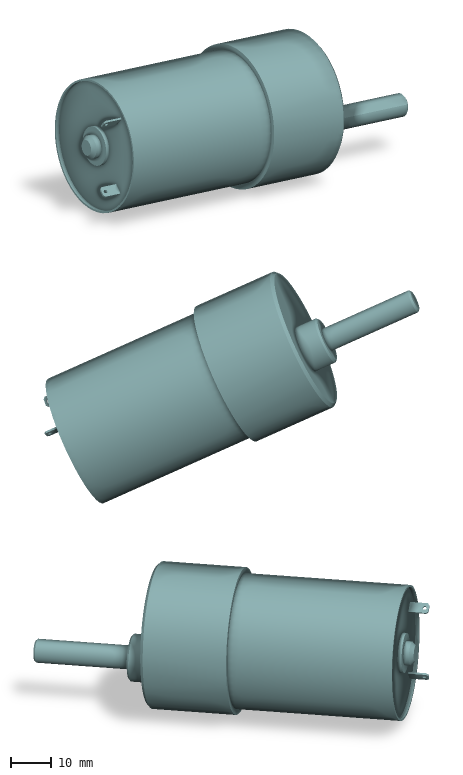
import cadquery as cq


GEARBOX_DIAMETER = 37.0
GEARBOX_LENGTH = 22.0
GEARBOX_CHAMFER = 0.8
BUSHING_DIAMETER = 12.0
BUSHING_LENGTH = 6.0
BUSHING_CHAMFER = 0.5

SHAFT_DIAMETER = 6.0
SHAFT_LENGTH = 24.4
SHAFT_OFFSET = -6.5
SHAFT_CHAMFER = 0.5
FLAT_DEPTH = 0.25
FLAT_DIRECTION = 40

MOTOR_DIAMETER = 34.0
MOTOR_LENGTH = 41.9
RECESS_DIAMETER = 33.0
RECESS_DEPTH = 1.0
BOSS_DIAMETER = 10.0
BOSS_HEIGHT = 1.0
STUB_PROJECTION = 2.5
STUB_CHAMFER = 1.0

TERMINAL_PROJECTION = 4.0
TERMINAL_WIDTH = 2.8
TERMINAL_THICKNESS = 0.5
TERMINAL_CHAMFER = 0.5
TERMINAL_RADIUS = 12.7
TERMINAL_ANGLES = (43.6, -46.4)
TERMINAL_HOLE_DIAMETER = 1.0
TERMINAL_HOLE_SETBACK = 1.1

REAR_RIM_Y = -MOTOR_LENGTH
REAR_FLOOR_Y = REAR_RIM_Y + RECESS_DEPTH


def cylinder_along_y(diameter, start_y, end_y):
    """Solid cylinder on the motor axis between two Y positions."""
    plane = cq.Workplane("XZ", origin=(0, start_y, 0))
    return plane.circle(diameter / 2).extrude(start_y - end_y)


def make_output_shaft(start_y):
    """Output shaft with a chamfered tip and a flat along its full length."""
    end_y = start_y + SHAFT_LENGTH
    shaft = cylinder_along_y(SHAFT_DIAMETER, start_y, end_y)
    shaft = shaft.faces(">Y").chamfer(SHAFT_CHAMFER)
    cutter_size = SHAFT_DIAMETER
    flat_offset = SHAFT_DIAMETER / 2 - FLAT_DEPTH
    cutter = (
        cq.Workplane("XY")
        .box(cutter_size, SHAFT_LENGTH, cutter_size)
        .translate((flat_offset + cutter_size / 2, (start_y + end_y) / 2, 0))
        .rotate((0, 0, 0), (0, 1, 0), -FLAT_DIRECTION)
    )
    return shaft.cut(cutter)


def make_gearbox():
    """Gearbox drum with an eccentric front bushing and output shaft."""
    bushing_end_y = GEARBOX_LENGTH + BUSHING_LENGTH
    drum = cylinder_along_y(GEARBOX_DIAMETER, 0, GEARBOX_LENGTH)
    drum = drum.faces(">Y").chamfer(GEARBOX_CHAMFER)
    bushing = cylinder_along_y(BUSHING_DIAMETER, GEARBOX_LENGTH, bushing_end_y)
    bushing = bushing.faces(">Y").chamfer(BUSHING_CHAMFER)
    output = bushing.union(make_output_shaft(bushing_end_y)).translate((0, 0, SHAFT_OFFSET))
    return drum.union(output)


def make_terminal(angle):
    """Blade with a chamfered tip and a wire hole, standing on the recess floor."""
    tip_y = REAR_RIM_Y - TERMINAL_PROJECTION
    length = REAR_FLOOR_Y - tip_y
    blade = (
        cq.Workplane("XY")
        .box(TERMINAL_WIDTH, length, TERMINAL_THICKNESS)
        .translate((TERMINAL_RADIUS, tip_y + length / 2, 0))
        .faces("<Y")
        .edges("|Z")
        .chamfer(TERMINAL_CHAMFER)
    )
    hole = (
        cq.Workplane("XY")
        .center(TERMINAL_RADIUS, tip_y + TERMINAL_HOLE_SETBACK)
        .circle(TERMINAL_HOLE_DIAMETER / 2)
        .extrude(TERMINAL_THICKNESS, both=True)
    )
    return blade.cut(hole).rotate((0, 0, 0), (0, 1, 0), -angle)


def make_motor():
    """Motor can with a recessed rear face, bearing boss, shaft stub and terminals."""
    can = cylinder_along_y(MOTOR_DIAMETER, REAR_RIM_Y, 0)
    recess = cylinder_along_y(RECESS_DIAMETER, REAR_RIM_Y, REAR_FLOOR_Y)
    boss = cylinder_along_y(BOSS_DIAMETER, REAR_FLOOR_Y - BOSS_HEIGHT, REAR_FLOOR_Y)
    stub = cylinder_along_y(SHAFT_DIAMETER, REAR_RIM_Y - STUB_PROJECTION, REAR_FLOOR_Y)
    stub = stub.faces("<Y").chamfer(STUB_CHAMFER)
    motor = can.cut(recess).union(boss).union(stub)
    for angle in TERMINAL_ANGLES:
        motor = motor.union(make_terminal(angle))
    return motor


gearbox = make_gearbox()
motor = make_motor()
result = cq.Compound.makeCompound([gearbox.val(), motor.val()])